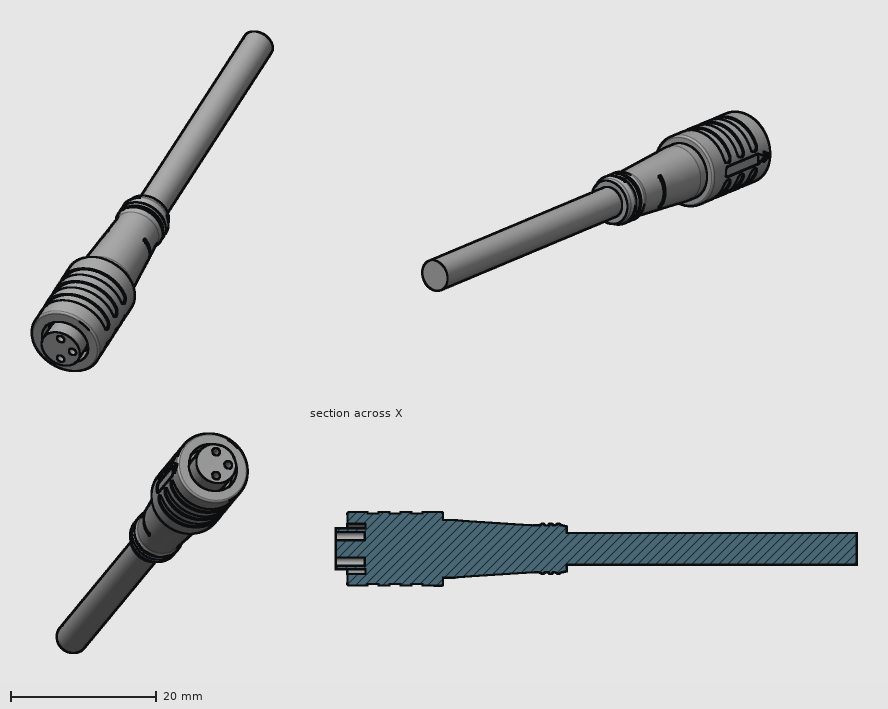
import cadquery as cq

total_length = 71.9
overlap = 0.5

insert_diameter = 5.7
socket_diameter = 1.1
socket_depth = 4.0
socket_offset = 1.75

collar_diameter = 10.2
collar_front_y = 1.6
collar_rear_y = 14.85
collar_edge_radius = 0.3
recess_diameter = 6.9
recess_depth = 2.5

groove_width = 1.5
groove_pitch = 3.02
groove_first_y = 5.17
groove_count = 3
groove_depth = 0.2
groove_end_z = 1.2
marker_start_y = groove_first_y - groove_width / 2
marker_end_y = groove_first_y + (groove_count - 1) * groove_pitch + groove_width / 2
marker_depth = 0.2
marker_corner_radius = 0.6

arrow_depth = 0.1
arrow_half_width = 0.75
arrow_length = 1.45
chevron_base_y = 3.2
chevron_thickness = 0.3

neck_diameter = 8.0
neck_end_y = 16.3
boot_diameter = 6.5
taper_end_y = 27.8
lead_in_y = 31.3
boot_end_y = 31.9
boot_end_diameter = 6.2

ridge_diameter = 7.0
ridge_width = 0.65
ridge_shoulder = 0.23
ridge_pitch = 1.08
ridge_first_y = 28.58
ridge_fade_y = 30.0

notch_y = 23.93
notch_width = 0.43
notch_floor_x = 2.65

cable_diameter = 4.4


def cylinder(diameter, start_y, end_y):
    """Cylinder parallel to Y between two Y positions."""
    plane = cq.Workplane("XZ", origin=(0, start_y, 0))
    return plane.circle(diameter / 2).extrude(start_y - end_y)


def make_collar():
    collar = cylinder(collar_diameter, collar_front_y, collar_rear_y).edges().fillet(collar_edge_radius)
    return collar.cut(cylinder(recess_diameter, collar_front_y - overlap, collar_front_y + recess_depth))


def make_boot():
    """Neck, taper, ridged sleeve and lead-in as one revolved profile."""
    base_radius = boot_diameter / 2
    ridge_radius = ridge_diameter / 2
    shoulder_radius = (base_radius + ridge_radius) / 2
    middle_ridge_y = ridge_first_y + ridge_pitch
    last_ridge_y = middle_ridge_y + ridge_pitch
    along = (0, 1)
    inward = (-1, 1)
    profile = (
        cq.Workplane("XY")
        .moveTo(0, collar_rear_y)
        .lineTo(neck_diameter / 2, collar_rear_y)
        .lineTo(neck_diameter / 2, neck_end_y)
        .lineTo(base_radius, taper_end_y)
        .spline(
            [
                (shoulder_radius, ridge_first_y - ridge_shoulder),
                (ridge_radius, ridge_first_y),
                (base_radius, ridge_first_y + ridge_width / 2),
            ],
            tangents=[along, inward],
            includeCurrent=True,
        )
        .lineTo(base_radius, middle_ridge_y - ridge_width / 2)
        .threePointArc((ridge_radius, middle_ridge_y), (base_radius, middle_ridge_y + ridge_width / 2))
        .lineTo(base_radius, ridge_fade_y)
        .spline(
            [
                (shoulder_radius, last_ridge_y - ridge_shoulder),
                (ridge_radius, last_ridge_y),
                (shoulder_radius, last_ridge_y + ridge_shoulder),
                (base_radius, lead_in_y),
            ],
            tangents=[along, along],
            includeCurrent=True,
        )
        .lineTo(boot_end_diameter / 2, boot_end_y)
        .lineTo(0, boot_end_y)
        .close()
    )
    return profile.revolve(360, (0, 0, 0), (0, 1, 0))


def make_notches():
    """Flat-bottomed notches on the +X and -X sides of the boot."""
    depth = neck_diameter / 2 - notch_floor_x
    block = cq.Workplane("XY").box(depth, notch_width, neck_diameter)
    offset = notch_floor_x + depth / 2
    return block.translate((offset, notch_y, 0)).union(block.translate((-offset, notch_y, 0)))


def make_grip_grooves():
    """Shallow grooves around the top and bottom, with round ends beside the X axis."""
    shell = cylinder(collar_diameter + overlap, collar_front_y, collar_rear_y).cut(
        cylinder(collar_diameter - 2 * groove_depth, collar_front_y, collar_rear_y)
    )
    slot_length = collar_diameter
    slot_center_z = groove_end_z + slot_length / 2
    slot_centers = [
        (groove_first_y + index * groove_pitch, side * slot_center_z)
        for index in range(groove_count)
        for side in (1, -1)
    ]
    slots = (
        cq.Workplane("YZ")
        .pushPoints(slot_centers)
        .slot2D(slot_length, groove_width, 90)
        .extrude(collar_diameter, both=True)
    )
    return shell.intersect(slots)


def side_plane(depth):
    """YZ plane at a given depth below the -X side of the collar."""
    return cq.Workplane("YZ", origin=(depth - collar_diameter / 2, 0, 0))


def make_marker_pocket():
    length = marker_end_y - marker_start_y
    return (
        side_plane(marker_depth)
        .center((marker_start_y + marker_end_y) / 2, 0)
        .rect(length, groove_width)
        .extrude(-marker_depth - overlap)
        .edges("|X and >Y")
        .fillet(marker_corner_radius)
    )


def make_arrow():
    """Triangle at the end of the marker pocket with a chevron ahead of it."""
    triangle = [
        (marker_start_y, arrow_half_width),
        (marker_start_y - arrow_length, 0),
        (marker_start_y, -arrow_half_width),
    ]
    chevron = [
        (chevron_base_y, arrow_half_width),
        (chevron_base_y - arrow_length, 0),
        (chevron_base_y, -arrow_half_width),
        (chevron_base_y, -arrow_half_width + chevron_thickness),
        (chevron_base_y - arrow_length + 2 * chevron_thickness, 0),
        (chevron_base_y, arrow_half_width - chevron_thickness),
    ]
    cutter_height = -arrow_depth - overlap
    head = side_plane(arrow_depth).polyline(triangle).close().extrude(cutter_height)
    return head.union(side_plane(arrow_depth).polyline(chevron).close().extrude(cutter_height))


def make_sockets():
    """Contact sockets above, below and on the +X side of the axis."""
    sockets = cq.Workplane("XZ").pushPoints([(0, socket_offset), (socket_offset, 0), (0, -socket_offset)])
    return sockets.circle(socket_diameter / 2).extrude(-socket_depth)


cable = cylinder(cable_diameter, collar_rear_y, total_length)
insert = cylinder(insert_diameter, 0, collar_rear_y)

result = (
    make_collar()
    .cut(make_grip_grooves())
    .cut(make_marker_pocket())
    .cut(make_arrow())
    .union(make_boot().cut(make_notches()))
    .union(cable)
    .union(insert)
    .cut(make_sockets())
)